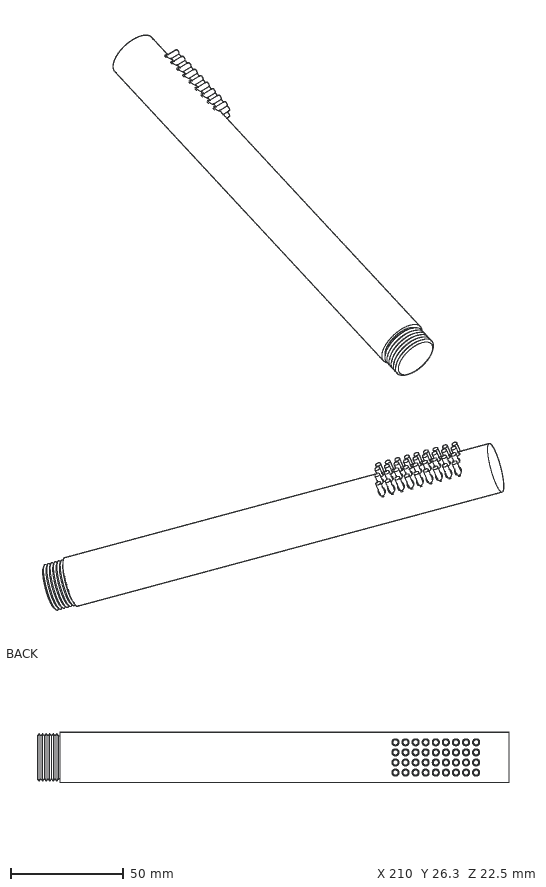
import cadquery as cq
import math

total_length = 210.0
body_length = 200.0
body_diameter = 22.5

crest_diameter = 21.2
root_diameter = 19.1
thread_count = 6
thread_pitch = 1.58

nozzle_columns = 9
nozzle_rows = 4
nozzle_span = 36.0
nozzle_diameter = 2.3
first_nozzle_x = 14.7
inner_projection = 3.8
outer_setback = 1.3

socket_diameter = 3.2
socket_depth = 2.0
nozzle_embed = 1.0

nozzle_pitch = nozzle_span / (nozzle_columns - 1)
body_radius = body_diameter / 2
crest_radius = crest_diameter / 2
root_radius = root_diameter / 2
thread_start = total_length - thread_count * thread_pitch
inner_tip_y = body_radius + inner_projection
outer_tip_y = inner_tip_y - outer_setback


def make_handle():
    """Body, relief neck and thread rings, turned as one profile about X."""
    profile = [
        (0, 0),
        (0, body_radius),
        (body_length, body_radius),
        (body_length, root_radius),
        (thread_start, root_radius),
    ]
    for ring in range(thread_count):
        ring_start = thread_start + ring * thread_pitch
        profile.append((ring_start + thread_pitch / 2, crest_radius))
        profile.append((ring_start + thread_pitch, root_radius))
    profile.append((total_length, 0))
    return cq.Workplane("XY").polyline(profile).close().revolve(360, (0, 0, 0), (1, 0, 0))


def make_pin(diameter, x, z, start_y, end_y):
    """Round pin along +Y."""
    base = cq.Vector(x, start_y, z)
    pin = cq.Solid.makeCylinder(diameter / 2, end_y - start_y, base, cq.Vector(0, 1, 0))
    return cq.Workplane(pin)


def add_nozzle_row(part, row):
    """One row of nozzles along X; the first and last rows are set back."""
    z = (row - (nozzle_rows - 1) / 2) * nozzle_pitch
    tip_y = outer_tip_y if row in (0, nozzle_rows - 1) else inner_tip_y
    surface_y = math.sqrt(body_radius**2 - z**2)
    socket_floor_y = surface_y - socket_depth
    for column in range(nozzle_columns):
        x = first_nozzle_x + column * nozzle_pitch
        part = part.cut(make_pin(socket_diameter, x, z, socket_floor_y, inner_tip_y))
        part = part.union(make_pin(nozzle_diameter, x, z, socket_floor_y - nozzle_embed, tip_y))
    return part


result = make_handle()
for row in range(nozzle_rows):
    result = add_nozzle_row(result, row)